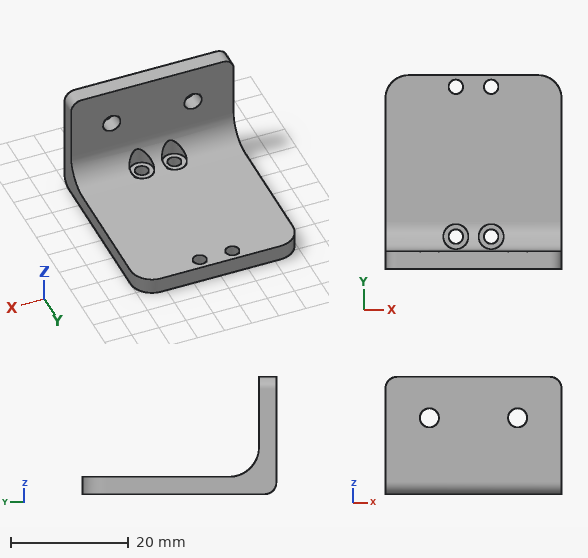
import cadquery as cq

width = 30.0
depth = 33.0
height = 20.0
thickness = 3.0

base_corner_radius = 4.0
wall_corner_radius = 2.0
inner_bend_radius = 5.0
outer_bend_radius = 2.0

wall_hole_diameter = 3.2
wall_hole_spacing = width / 2
wall_hole_height = 13.0

base_hole_diameter = 2.4
base_hole_spacing = 6.0
back_hole_inset = 2.0
front_hole_y = 5.5
counterbore_diameter = 4.25


def make_bracket():
    """L-shaped profile extruded across the width, with rounded bend and corners."""
    bracket = (
        cq.Workplane("YZ")
        .polyline([
            (0, 0),
            (depth, 0),
            (depth, thickness),
            (thickness, thickness),
            (thickness, height),
            (0, height),
        ])
        .close()
        .extrude(width / 2, both=True)
    )
    bracket = bracket.edges(
        cq.selectors.NearestToPointSelector((0, thickness, thickness))
    ).fillet(inner_bend_radius)
    bracket = bracket.faces("<Z").edges("<Y").fillet(outer_bend_radius)
    bracket = bracket.faces(">Y").edges("|Z").fillet(base_corner_radius)
    return bracket.faces(">Z").edges("|Y").fillet(wall_corner_radius)


def vertical_cylinders(diameter, y, bottom, top):
    """Pair of vertical cylinders spaced evenly about the middle of the base."""
    half_spacing = base_hole_spacing / 2
    return (
        cq.Workplane("XY", origin=(0, y, bottom))
        .pushPoints([(-half_spacing, 0), (half_spacing, 0)])
        .circle(diameter / 2)
        .extrude(top - bottom)
    )


def wall_holes():
    """Pair of horizontal cylinders passing through the wall."""
    half_spacing = wall_hole_spacing / 2
    return (
        cq.Workplane("XZ", origin=(0, 0, wall_hole_height))
        .pushPoints([(-half_spacing, 0), (half_spacing, 0)])
        .circle(wall_hole_diameter / 2)
        .extrude(-thickness)
    )


result = make_bracket().cut(wall_holes())

for hole_y in (front_hole_y, depth - back_hole_inset):
    result = result.cut(vertical_cylinders(base_hole_diameter, hole_y, 0, height))

result = result.cut(vertical_cylinders(counterbore_diameter, front_hole_y, thickness, height))